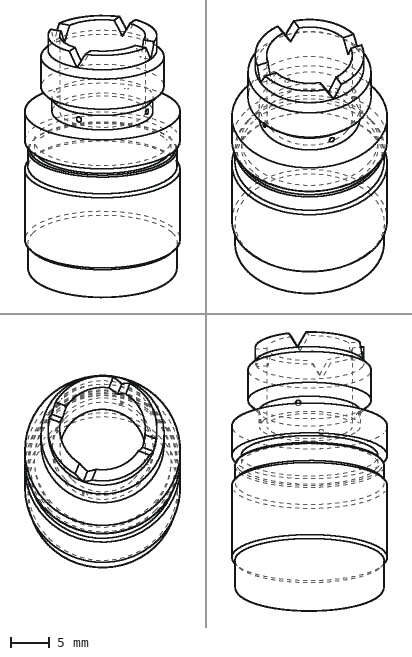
import cadquery as cq
import math

total_height = 32.6
body_radius = 10.0

shoulder_radius = 9.6
groove_radius = 8.8
base_fillet = 0.5
spigot_height = 4.0
barrel_chamfer = body_radius - shoulder_radius
barrel_top = 14.5
shoulder_top = 17.0
shoulder_chamfer = 0.2
groove_top = 18.1
flange_top = 22.1

neck_radius = 6.5
collar_radius = 7.925
rim_radius = 7.0
neck_top = 24.1
collar_lower_edge = neck_top + (collar_radius - neck_radius)
rim_height = 2.0
rim_base = total_height - rim_height
collar_upper_edge = rim_base - (collar_radius - rim_radius)

bore_radius = 5.5
bore_floor = flange_top

notch_angle = 60.0
notch_depth = rim_height
notch_half_width = notch_depth * math.tan(math.radians(notch_angle / 2))

dimple_radius = 0.35
dimple_angle = 90.0
dimple_depth = dimple_radius / math.tan(math.radians(dimple_angle / 2))
dimple_height = 23.25
dimple_count = 4


def turned_body():
    """Solid of revolution about Z, with the bottom edge rounded."""
    profile = [
        (0, 0),
        (shoulder_radius, 0),
        (shoulder_radius, spigot_height),
        (body_radius, spigot_height + barrel_chamfer),
        (body_radius, barrel_top - barrel_chamfer),
        (shoulder_radius, barrel_top),
        (shoulder_radius, shoulder_top - shoulder_chamfer),
        (shoulder_radius - shoulder_chamfer, shoulder_top),
        (groove_radius, shoulder_top),
        (groove_radius, groove_top),
        (body_radius, groove_top),
        (body_radius, flange_top),
        (neck_radius, flange_top),
        (neck_radius, neck_top),
        (collar_radius, collar_lower_edge),
        (collar_radius, collar_upper_edge),
        (rim_radius, rim_base),
        (rim_radius, total_height),
        (0, total_height),
    ]
    body = cq.Workplane("XZ").polyline(profile).close().revolve(360, (0, 0), (0, 1))
    return body.faces("<Z").edges().fillet(base_fillet)


def bore():
    """Flat-bottomed cylinder that hollows out the head."""
    depth = total_height - bore_floor
    return cq.Workplane("XY").workplane(offset=bore_floor).circle(bore_radius).extrude(depth)


def rim_notch(plane):
    """V-shaped prism spanning the rim, extruded both ways from the given plane."""
    outline = [
        (-notch_half_width, total_height),
        (notch_half_width, total_height),
        (0, total_height - notch_depth),
    ]
    return cq.Workplane(plane).polyline(outline).close().extrude(body_radius, both=True)


def dimple(angle):
    """Cone that sinks radially into the neck at the given angle about Z."""
    cone = cq.Solid.makeCone(
        2 * dimple_radius,
        0,
        2 * dimple_depth,
        pnt=cq.Vector(neck_radius + dimple_depth, 0, dimple_height),
        dir=cq.Vector(-1, 0, 0),
    )
    return cq.Workplane(obj=cone).rotate((0, 0, 0), (0, 0, 1), angle)


result = turned_body().cut(bore())

for notch_plane in ("XZ", "YZ"):
    result = result.cut(rim_notch(notch_plane))

for index in range(dimple_count):
    result = result.cut(dimple(index * 360 / dimple_count))